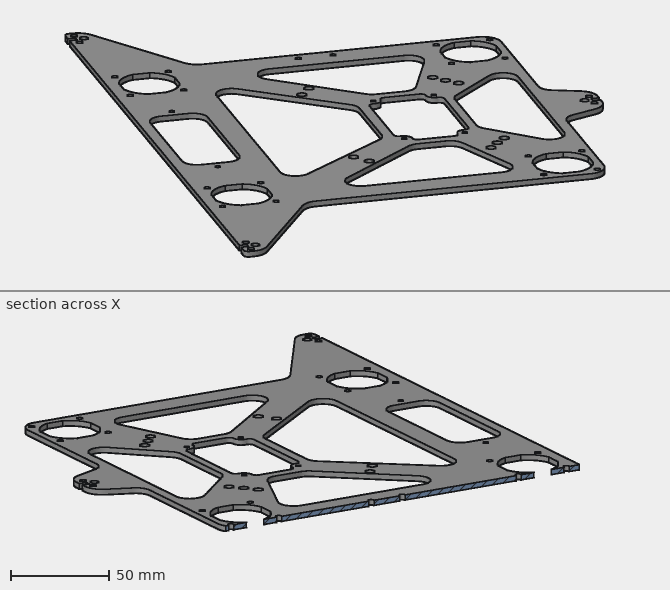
import cadquery as cq

width = 333.5
depth = 236.0
thickness = 3.0

body_half_width = 104.8
body_top = 211.0
wing_root_y = 50.0
wing_tip_y = 10.0
tab_base_half_width = 21.0
tab_tip_half_width = 11.5
outline_radius = 10.0
tab_base_radius = 8.0
foot_radius = 2.7

window_radius = 8.0
upper_window_y = (164.8, 205.0)
upper_window_half_widths = (23.0, 61.5)
lower_window_y = (49.7, 114.5)
lower_window_half_widths = (75.0, 24.5)
side_window_inner_x = 38.0
left_window_outer_x = 88.7
right_window_outer_x = 90.0
side_window_inner_y = (125.5, 148.8)
side_window_outer_y = (63.7, 169.8)

board_center_y = 140.0
board_opening = (64.0, 39.7)
board_hole_spacing = (57.5, 32.0)
board_lug_half_size = 4.0
board_lug_radius = 4.5
board_lug_blend = 2.7

motor_x = 85.0
motor_rows_y = (21.7, 192.0)
motor_opening_flats = 29.7
motor_opening_diameter = 31.0
motor_hole_spacing = 28.5

slot_center_y = 21.5
slot_size = (74.0, 30.5)
slot_corner = 8.0
slot_hole_x = 42.5

cluster_x = 158.0
cluster_half_pitch = 5.0
cluster_side_inset = 4.5
cluster_middle_inset = 8.0
notch_width = 3.0
notch_depth = 4.0

small_hole = 2.55
motor_hole = 3.0
cluster_side_hole = 3.5
cluster_middle_hole = 4.5
arm_hole = 5.0
upper_arm_holes = [(42.0, 173.0), (47.7, 167.8), (53.7, 162.8)]
lower_arm_holes = [(47.7, 91.8), (55.7, 97.8)]
edge_holes = [(-99.5, 104.8), (-99.5, 123.0)]


def mirrored(points):
    """Return the points together with their mirror images across X = 0."""
    return points + [(-x, y) for x, y in points]


def rectangle_points(spacing_x, spacing_y, x, y):
    return [(x + i * spacing_x / 2, y + j * spacing_y / 2) for i in (-1, 1) for j in (-1, 1)]


def prism(points):
    return cq.Workplane("XY").polyline(points).close().extrude(thickness)


def box(size_x, size_y, x, y):
    return cq.Workplane("XY").center(x, y).rect(size_x, size_y).extrude(thickness)


def drill(plate, points, diameter):
    holes = cq.Workplane("XY").pushPoints(points).circle(diameter / 2).extrude(thickness)
    return plate.cut(holes)


def fillet_at(solid, points, radius):
    """Round the upright edges standing at the given XY points."""
    reach = 0.05
    for x, y in points:
        picker = cq.selectors.BoxSelector(
            (x - reach, y - reach, -reach), (x + reach, y + reach, thickness + reach)
        )
        solid = solid.edges("|Z").edges(picker).fillet(radius)
    return solid


def make_outline():
    right_side = [
        (width / 2, 0),
        (width / 2, wing_tip_y),
        (body_half_width, wing_root_y),
        (body_half_width, body_top),
        (tab_base_half_width, body_top),
        (tab_tip_half_width, depth),
    ]
    left_side = [(-x, y) for x, y in reversed(right_side)]
    plate = prism(right_side + left_side)
    corner_radii = [
        foot_radius,
        outline_radius,
        outline_radius,
        outline_radius,
        tab_base_radius,
        outline_radius,
    ]
    for corner, radius in zip(right_side, corner_radii):
        plate = fillet_at(plate, mirrored([corner]), radius)
    return plate


def trapezoid_window(y_range, half_widths):
    (low_y, high_y), (low_x, high_x) = y_range, half_widths
    window = prism([(-low_x, low_y), (low_x, low_y), (high_x, high_y), (-high_x, high_y)])
    return window.edges("|Z").fillet(window_radius)


def side_window(outer_x):
    """Window on the +X side, reaching out to outer_x."""
    window = prism([
        (side_window_inner_x, side_window_inner_y[0]),
        (outer_x, side_window_outer_y[0]),
        (outer_x, side_window_outer_y[1]),
        (side_window_inner_x, side_window_inner_y[1]),
    ])
    return window.edges("|Z").fillet(window_radius)


def board_opening_cutter():
    opening_x, opening_y = board_opening
    clear_x = board_hole_spacing[0] - 2 * board_lug_half_size
    clear_y = board_hole_spacing[1] - 2 * board_lug_half_size
    wide_part = box(opening_x, clear_y, 0, board_center_y)
    tall_part = box(clear_x, opening_y, 0, board_center_y)
    opening = wide_part.union(tall_part)
    lug_corners = rectangle_points(clear_x, clear_y, 0, board_center_y)
    wall_corners = rectangle_points(opening_x, clear_y, 0, board_center_y)
    wall_corners += rectangle_points(clear_x, opening_y, 0, board_center_y)
    opening = fillet_at(opening, lug_corners, board_lug_radius)
    return fillet_at(opening, wall_corners, board_lug_blend)


def cut_motor_mounts(plate):
    for x, y in mirrored([(motor_x, row_y) for row_y in motor_rows_y]):
        disc = cq.Workplane("XY").center(x, y).circle(motor_opening_diameter / 2).extrude(thickness)
        plate = plate.cut(disc.intersect(box(motor_opening_flats, motor_opening_flats, x, y)))
        corners = rectangle_points(motor_hole_spacing, motor_hole_spacing, x, y)
        plate = drill(plate, corners, motor_hole)
    return plate


def cut_cluster(plate, x, edge_y, inward):
    """Cut a notch and three holes; inward is the Y direction from the edge into the plate."""
    side_y = edge_y + inward * cluster_side_inset
    side_holes = [(x - cluster_half_pitch, side_y), (x + cluster_half_pitch, side_y)]
    plate = drill(plate, side_holes, cluster_side_hole)
    plate = drill(plate, [(x, edge_y + inward * cluster_middle_inset)], cluster_middle_hole)
    return plate.cut(box(notch_width, notch_depth, x, edge_y + inward * notch_depth / 2))


result = make_outline()

result = result.cut(trapezoid_window(upper_window_y, upper_window_half_widths))
result = result.cut(trapezoid_window(lower_window_y, lower_window_half_widths))
result = result.cut(side_window(right_window_outer_x))
result = result.cut(side_window(left_window_outer_x).mirror("YZ"))

result = result.cut(board_opening_cutter())
result = drill(result, rectangle_points(*board_hole_spacing, 0, board_center_y), small_hole)

result = cut_motor_mounts(result)

result = result.cut(box(*slot_size, 0, slot_center_y).edges("|Z").fillet(slot_corner))
result = drill(result, mirrored([(slot_hole_x, slot_center_y)]), small_hole)

result = cut_cluster(result, cluster_x, 0, 1)
result = cut_cluster(result, -cluster_x, 0, 1)
result = cut_cluster(result, 0, depth, -1)

result = drill(result, mirrored(upper_arm_holes + lower_arm_holes), arm_hole)
result = drill(result, edge_holes, motor_hole)